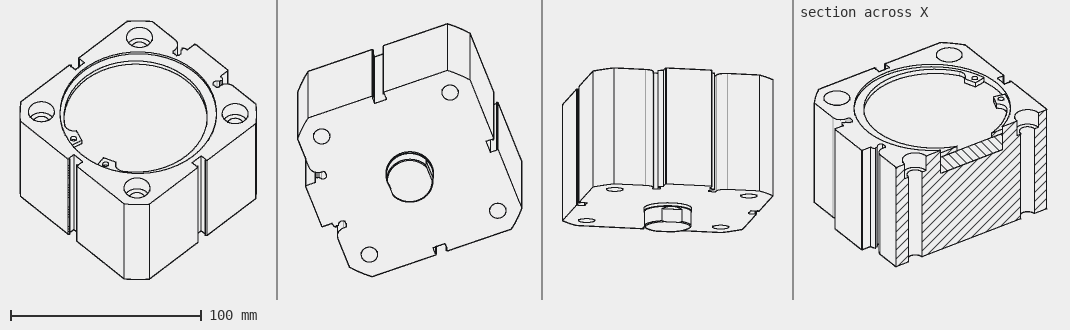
import cadquery as cq
import math

BODY_WIDTH = 96.5
BODY_HEIGHT = 62.5
CORNER_RADIUS = 62.0
HALF_WIDTH = BODY_WIDTH / 2

OVERALL_DEPTH = 102.0
RAIL_WIDTH = 25.0
RAIL_EDGE_CHAMFER = 0.4
RAIL_TOP = OVERALL_DEPTH - HALF_WIDTH
RAIL_HALF = RAIL_WIDTH / 2

GROOVE_FLOOR = 41.3
GROOVE_WALL = 16.9
GROOVE_LIP_RADIUS = 5.0
GROOVE_CORNER_RADIUS = 0.8
GROOVE_LOBE_START = 13.8
GROOVE_LOBE_MIDDLE = (12.9, 43.1)
GROOVE_LOBE_END = (13.5, 44.5)
BARB_NECK = 14.6
BARB_NECK_BOTTOM = 45.4
BARB_NECK_TOP = 46.3
BARB_TIP = (15.2, 46.9)
BARB_SHOULDER = (14.3, 47.6)
BARB_TOP = 48.0

SLOT_WIDTH = 6.6
SLOT_DEPTH = 4.4
SLOT_MOUTH = 5.4
SLOT_LIP = 0.8
SLOT_MOUTH_CHAMFER = 0.5

HOLE_OFFSET = 35.9
HOLE_DIAMETER = 8.6
COUNTERBORE_DIAMETER = 13.6
COUNTERBORE_DEPTH = 9.1

BORE_RADIUS = 41.0
RING_RECESS = 1.5
RING_THICKNESS = 2.7
RING_INNER_RADIUS = 37.5
RING_INNER_OFFSET = -1.9
COVER_THICKNESS = 10.2
RING_BOTTOM = BODY_HEIGHT - RING_RECESS - RING_THICKNESS
COVER_BOTTOM = RING_BOTTOM - COVER_THICKNESS

LUG_NECK_X = 21.6
LUG_HOLLOW = (19.2, -33.4)
LUG_OUTER_CORNER = (14.8, -30.8)
LUG_INNER_CORNER = (8.2, -33.4)
LUG_FOOT_X = 9.6
LUG_HOLE = (12.0, -35.6)
LUG_HOLE_DIAMETER = 3.1

ROD_DIAMETER = 25.0
ROD_EXTENSION = 10.0
ROD_COLLAR_LENGTH = 1.8
NOSE_DIAMETER = 24.5
NOSE_CHAMFER = 0.5
COLLAR_CHAMFER = (ROD_DIAMETER - NOSE_DIAMETER) / 2
FLAT_SPACING = 22.0


def extrude_up(outline, bottom, top):
    return outline.extrude(top - bottom).translate((0, 0, bottom))


def groove_cutter():
    """Undercut groove on the +X side of the rail."""
    lip_shift = GROOVE_LIP_RADIUS * (1 - math.sqrt(0.5))
    corner_shift = GROOVE_CORNER_RADIUS * (1 - math.sqrt(0.5))
    outline = (
        cq.Workplane("XY")
        .moveTo(RAIL_HALF, RAIL_TOP)
        .lineTo(RAIL_HALF, BARB_TOP)
        .threePointArc(BARB_SHOULDER, BARB_TIP)
        .lineTo(BARB_NECK, BARB_NECK_TOP)
        .lineTo(BARB_NECK, BARB_NECK_BOTTOM)
        .lineTo(*GROOVE_LOBE_END)
        .threePointArc(GROOVE_LOBE_MIDDLE, (GROOVE_LOBE_START, GROOVE_FLOOR))
        .lineTo(GROOVE_WALL - GROOVE_CORNER_RADIUS, GROOVE_FLOOR)
        .threePointArc(
            (GROOVE_WALL - corner_shift, GROOVE_FLOOR + corner_shift),
            (GROOVE_WALL, GROOVE_FLOOR + GROOVE_CORNER_RADIUS),
        )
        .lineTo(GROOVE_WALL, HALF_WIDTH - GROOVE_LIP_RADIUS)
        .threePointArc(
            (GROOVE_WALL + lip_shift, HALF_WIDTH - lip_shift),
            (GROOVE_WALL + GROOVE_LIP_RADIUS, HALF_WIDTH),
        )
        .lineTo(GROOVE_WALL + GROOVE_LIP_RADIUS, RAIL_TOP)
        .close()
    )
    return outline.extrude(BODY_HEIGHT)


def t_slot_cutter():
    """T-slot open to the +X face."""
    mouth_half = SLOT_MOUTH / 2
    side = [
        (HALF_WIDTH, mouth_half + SLOT_MOUTH_CHAMFER),
        (HALF_WIDTH - SLOT_MOUTH_CHAMFER, mouth_half),
        (HALF_WIDTH - SLOT_LIP, mouth_half),
        (HALF_WIDTH - SLOT_LIP, SLOT_WIDTH / 2),
        (HALF_WIDTH - SLOT_DEPTH, SLOT_WIDTH / 2),
    ]
    mirrored_side = [(x, -y) for x, y in reversed(side)]
    return cq.Workplane("XY").polyline(side + mirrored_side).close().extrude(BODY_HEIGHT)


def make_housing():
    block = cq.Workplane("XY").rect(BODY_WIDTH, BODY_WIDTH).extrude(BODY_HEIGHT)
    block = block.intersect(cq.Workplane("XY").circle(CORNER_RADIUS).extrude(BODY_HEIGHT))
    rail = (
        cq.Workplane("XY")
        .center(0, (RAIL_TOP + GROOVE_FLOOR) / 2)
        .rect(RAIL_WIDTH, RAIL_TOP - GROOVE_FLOOR)
        .extrude(BODY_HEIGHT)
        .faces(">Y")
        .edges("|Z")
        .chamfer(RAIL_EDGE_CHAMFER)
    )
    housing = block.union(rail)

    groove = groove_cutter()
    housing = housing.cut(groove).cut(groove.mirror("YZ"))
    for angle in (0, 180, 270):
        housing = housing.cut(t_slot_cutter().rotate((0, 0, 0), (0, 0, 1), angle))

    housing = (
        housing.faces(">Z")
        .workplane(origin=(0, 0, BODY_HEIGHT))
        .rect(2 * HOLE_OFFSET, 2 * HOLE_OFFSET, forConstruction=True)
        .vertices()
        .cboreHole(HOLE_DIAMETER, COUNTERBORE_DIAMETER, COUNTERBORE_DEPTH)
    )
    bore = extrude_up(cq.Workplane("XY").circle(BORE_RADIUS), COVER_BOTTOM, BODY_HEIGHT)
    rod_hole = cq.Workplane("XY").circle(ROD_DIAMETER / 2).extrude(COVER_BOTTOM)
    return housing.cut(bore).cut(rod_hole)


def make_cover():
    return extrude_up(cq.Workplane("XY").circle(BORE_RADIUS), COVER_BOTTOM, RING_BOTTOM)


def make_retaining_ring():
    """Open ring whose bore is offset towards the lugs at its -Y ends."""
    neck_y = RING_INNER_OFFSET - math.sqrt(RING_INNER_RADIUS**2 - LUG_NECK_X**2)
    foot_y = -math.sqrt(BORE_RADIUS**2 - LUG_FOOT_X**2)

    def left(point):
        return (-point[0], point[1])

    outline = (
        cq.Workplane("XY")
        .moveTo(LUG_FOOT_X, foot_y)
        .threePointArc((0, BORE_RADIUS), (-LUG_FOOT_X, foot_y))
        .lineTo(*left(LUG_INNER_CORNER))
        .lineTo(*left(LUG_OUTER_CORNER))
        .threePointArc(left(LUG_HOLLOW), (-LUG_NECK_X, neck_y))
        .threePointArc((0, RING_INNER_OFFSET + RING_INNER_RADIUS), (LUG_NECK_X, neck_y))
        .threePointArc(LUG_HOLLOW, LUG_OUTER_CORNER)
        .lineTo(*LUG_INNER_CORNER)
        .close()
    )
    ring = outline.extrude(RING_THICKNESS)
    lug_holes = (
        cq.Workplane("XY")
        .pushPoints([LUG_HOLE, left(LUG_HOLE)])
        .circle(LUG_HOLE_DIAMETER / 2)
        .extrude(RING_THICKNESS)
    )
    return ring.cut(lug_holes).translate((0, 0, RING_BOTTOM))


def wrench_flat_cutter():
    """Flat on the +Y side of the rod nose, ending in a 45 degree shoulder below the collar."""
    flat_y = FLAT_SPACING / 2
    outer_y = ROD_DIAMETER / 2
    shoulder_top = COLLAR_CHAMFER - ROD_COLLAR_LENGTH
    profile = (
        cq.Workplane("YZ")
        .moveTo(flat_y, -ROD_EXTENSION)
        .lineTo(flat_y, shoulder_top - (outer_y - flat_y))
        .lineTo(outer_y, shoulder_top)
        .lineTo(outer_y, -ROD_EXTENSION)
        .close()
    )
    return profile.extrude(ROD_DIAMETER / 2, both=True)


def make_rod():
    shank = extrude_up(cq.Workplane("XY").circle(ROD_DIAMETER / 2), -ROD_COLLAR_LENGTH, COVER_BOTTOM)
    shank = shank.faces("<Z").edges().chamfer(COLLAR_CHAMFER)
    nose = extrude_up(cq.Workplane("XY").circle(NOSE_DIAMETER / 2), -ROD_EXTENSION, -ROD_COLLAR_LENGTH)
    nose = nose.faces("<Z").edges().chamfer(NOSE_CHAMFER)
    rod = shank.union(nose)
    flat = wrench_flat_cutter()
    return rod.cut(flat).cut(flat.mirror("XZ"))


housing = make_housing()
cover = make_cover()
retaining_ring = make_retaining_ring()
rod = make_rod()

result = cq.Compound.makeCompound([
    housing.val(),
    cover.val(),
    retaining_ring.val(),
    rod.val(),
])